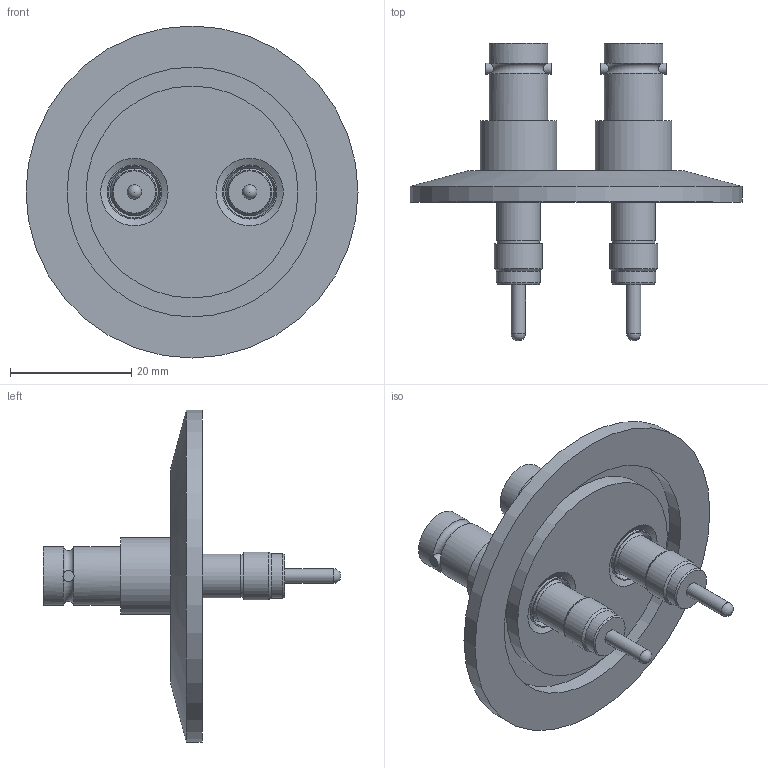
import cadquery as cq
import math


flange_diameter = 54.86
rim_thickness = 2.6
flange_thickness = 5.2
clamp_angle = 15.0
groove_outer_diameter = 41.3
groove_inner_diameter = 35.0
groove_depth = 2.6

feedthrough_spacing = 19.05
sleeve_diameter = 12.65
sleeve_end = 13.47

countersink_diameter = 11.15
countersink_depth = 0.6
lip_outer_diameter = 8.95
lip_inner_diameter = 8.6
lip_top = 0.1
gap_bottom_diameter = 7.7
gap_depth = 0.9

socket_diameter = 9.68
socket_end = 26.25
bayonet_y = 22.07
bayonet_groove_width = 1.68
bayonet_groove_depth = 0.66
lug_diameter = 1.85
lug_span = 11.0

neck_diameter = 7.26
neck_end = 6.4
relief_diameter = 7.0
relief_end = 6.85
collar_diameter = 7.93
collar_end = 11.4
collar_chamfer_length = 0.4
tip_diameter = 7.3
tip_end = 13.65
tip_chamfer_length = 0.3
tip_chamfer_width = 0.15
pin_diameter = 2.4
pin_end = 22.9


def revolve_about_y(outline):
    """Spin an outline drawn as (radius, y) around the Y axis."""
    return outline.close().revolve(360, (0, 0, 0), (0, 1, 0))


def cylinder_y(diameter, y_start, y_end):
    """Cylinder on the Y axis between two heights."""
    return revolve_about_y(
        cq.Workplane("XY")
        .moveTo(0, y_start)
        .lineTo(diameter / 2, y_start)
        .lineTo(diameter / 2, y_end)
        .lineTo(0, y_end)
    )


def make_flange():
    """Clamp flange with a tapered back and a ring groove in its sealing face."""
    rim_radius = flange_diameter / 2
    taper_width = (flange_thickness - rim_thickness) / math.tan(math.radians(clamp_angle))
    body = revolve_about_y(
        cq.Workplane("XY")
        .moveTo(0, 0)
        .lineTo(rim_radius, 0)
        .lineTo(rim_radius, rim_thickness)
        .lineTo(rim_radius - taper_width, flange_thickness)
        .lineTo(0, flange_thickness)
    )
    ring = cylinder_y(groove_outer_diameter, 0, groove_depth).cut(
        cylinder_y(groove_inner_diameter, 0, groove_depth)
    )
    return body.cut(ring)


def make_well():
    """Ring-shaped well around one neck: countersink, lip, then the V gap."""
    return revolve_about_y(
        cq.Workplane("XY")
        .moveTo(neck_diameter / 2, 0)
        .lineTo(gap_bottom_diameter / 2, gap_depth)
        .lineTo(lip_inner_diameter / 2, lip_top)
        .lineTo(lip_outer_diameter / 2, lip_top)
        .lineTo(lip_outer_diameter / 2, countersink_depth)
        .lineTo(countersink_diameter / 2, 0)
    )


def make_socket():
    """Weld sleeve and bayonet socket with a round groove and two lugs."""
    socket_radius = socket_diameter / 2
    half_groove = bayonet_groove_width / 2
    socket = revolve_about_y(
        cq.Workplane("XY")
        .moveTo(0, flange_thickness)
        .lineTo(sleeve_diameter / 2, flange_thickness)
        .lineTo(sleeve_diameter / 2, sleeve_end)
        .lineTo(socket_radius, sleeve_end)
        .lineTo(socket_radius, bayonet_y - half_groove)
        .threePointArc(
            (socket_radius - bayonet_groove_depth, bayonet_y),
            (socket_radius, bayonet_y + half_groove),
        )
        .lineTo(socket_radius, socket_end)
        .lineTo(0, socket_end)
    )
    lugs = (
        cq.Workplane("YZ")
        .center(bayonet_y, 0)
        .circle(lug_diameter / 2)
        .extrude(lug_span / 2, both=True)
    )
    return socket.union(lugs)


def make_contact():
    """Neck, collar, tip and round-nosed contact pin."""
    neck_radius = neck_diameter / 2
    relief_radius = relief_diameter / 2
    collar_radius = collar_diameter / 2
    tip_radius = tip_diameter / 2
    pin_radius = pin_diameter / 2
    nose_start = pin_end - pin_radius
    nose_offset = pin_radius * math.sin(math.radians(45))
    return revolve_about_y(
        cq.Workplane("XY")
        .moveTo(0, 0)
        .lineTo(neck_radius, 0)
        .lineTo(neck_radius, -neck_end)
        .lineTo(relief_radius, -neck_end)
        .lineTo(relief_radius, -relief_end)
        .lineTo(collar_radius, -relief_end)
        .lineTo(collar_radius, -(collar_end - collar_chamfer_length))
        .lineTo(tip_radius, -collar_end)
        .lineTo(tip_radius, -(tip_end - tip_chamfer_length))
        .lineTo(tip_radius - tip_chamfer_width, -tip_end)
        .lineTo(pin_radius, -tip_end)
        .lineTo(pin_radius, -nose_start)
        .threePointArc((nose_offset, -nose_start - nose_offset), (0, -pin_end))
    )


result = make_flange()
for side in (-1, 1):
    place = (side * feedthrough_spacing / 2, 0, 0)
    result = result.cut(make_well().translate(place))
    result = result.union(make_socket().translate(place))
    result = result.union(make_contact().translate(place))